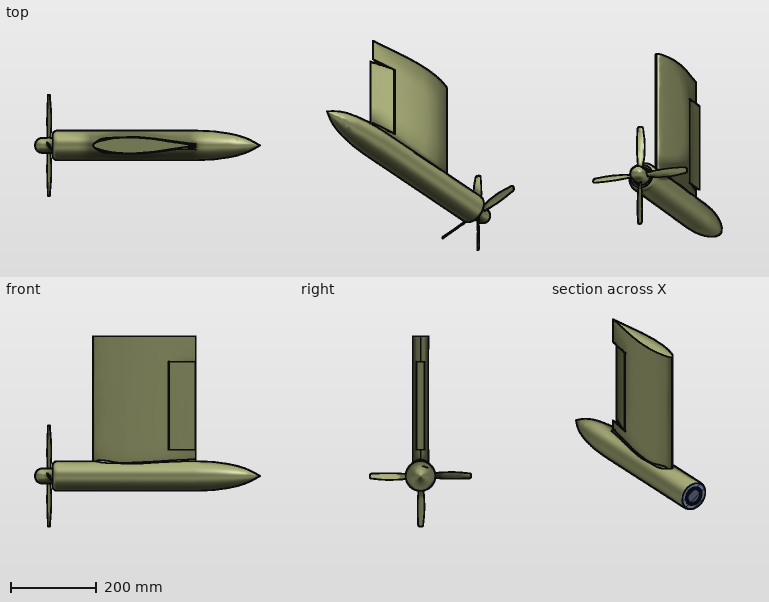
import cadquery as cq
import math

total_length = 526
rotor_diameter = 237.0
total_height = 445.5
rotor_radius = rotor_diameter / 2
fin_top = total_height - rotor_radius

pod_radius = 70.0 / 2
pod_front = 41.5
pod_end = 376.0
nose_rounding_length = 11.0
front_face_radius = 27.5
tail_length = total_length - pod_end
tail_profile = [(0.39, 0.89), (0.77, 0.51)]
tip_direction = (-1, 0.6)

recess_radius = 22.0
recess_depth = 10.0

fin_chord = 240.5
fin_front = pod_end - fin_chord
fin_half_thickness = 7.1 / 2
root_fillet = 5.0
fillet_overlap = 0.25
edge_fraction = 0.15
fin_profile = [(0.012, 1.3), (0.05, 2.6), (0.2, 4.5), (0.38, 5), (0.6, 4.075), (0.8, 1.985), (0.9, 0.875)]

notch_front = 312.0
notch_top = fin_top - 60.0
notch_height = 205.0
notch_bottom = notch_top - notch_height
flap_gap = 3.0
flap_angle = 9
hinge_x = notch_front + flap_gap

hub_radius = 18.0
blade_count = 4
blade_x = 32.5
blade_root = 13.0
cap_height = 9.5
cap_corner_radius = 6.5
cap_base = rotor_radius - cap_height
root_section = (blade_root, 10.5, 4.0, 42, 0)
middle_section = (71.0, 19.5, 2.5, 59, 1.5)
tip_section = (cap_base, 14.0, 2.0, 66, 0.5)


def fin_prism(bottom, top):
    """Upright prism with the symmetric fin section."""
    nose = (fin_front, 0)
    tail = (pod_end, 0)
    side = [(fin_front + u * fin_chord, v * fin_half_thickness) for u, v in fin_profile]
    opposite = [(x, -y) for x, y in reversed(side)]
    return (
        cq.Workplane("XY", origin=(0, 0, bottom))
        .moveTo(*nose)
        .spline(side + [tail], includeCurrent=True)
        .spline(opposite + [nose], includeCurrent=True)
        .close()
        .extrude(top - bottom)
    )


def trailing_block(front):
    """Block over the notch height that covers everything behind the given X."""
    return cq.Workplane("XY").box(
        total_length - front, 2 * pod_radius, notch_height, centered=(False, True, False)
    ).translate((front, 0, notch_bottom))


def make_pod_body():
    """Turned pod: flat front with a rounded rim, straight barrel and pointed tail."""
    tail_points = [(pod_end + u * tail_length, v * pod_radius) for u, v in reversed(tail_profile)]
    return (
        cq.Workplane("XY")
        .moveTo(pod_end, pod_radius)
        .lineTo(pod_front + nose_rounding_length, pod_radius)
        .tangentArcPoint((pod_front, front_face_radius), relative=False)
        .lineTo(pod_front, 0)
        .lineTo(total_length, 0)
        .spline(tail_points + [(pod_end, pod_radius)], tangents=[tip_direction, (-1, 0)], includeCurrent=True)
        .close()
        .revolve(360, (0, 0, 0), (1, 0, 0))
    )


def root_fillet_section(chord_fraction, thickness_fraction, radius):
    """Wire across the fin root, its sides concave arcs that meet the fin walls and the pod."""
    wall = thickness_fraction * fin_half_thickness
    center_y = wall + radius
    center_z = math.sqrt((pod_radius + radius) ** 2 - center_y**2)
    mid_angle = (math.pi + math.atan2(center_z, center_y) + math.pi) / 2
    arc_top = (wall - fillet_overlap, center_z)
    arc_middle = (center_y + radius * math.cos(mid_angle), center_z + radius * math.sin(mid_angle))
    reach = (pod_radius - fillet_overlap) / (pod_radius + radius)
    arc_foot = (reach * center_y, reach * center_z)
    mirrored = [(-y, z) for y, z in (arc_foot, arc_middle, arc_top)]
    return (
        cq.Workplane("YZ", origin=(fin_front + chord_fraction * fin_chord, 0, 0))
        .moveTo(*arc_top)
        .threePointArc(arc_middle, arc_foot)
        .lineTo(*mirrored[0])
        .threePointArc(mirrored[1], mirrored[2])
        .close()
        .val()
    )


def make_root_fillet():
    """Concave blend between fin and pod that starts from almost nothing at the leading edge."""
    sections = [root_fillet_section(0, edge_fraction, 2 * fillet_overlap)]
    full_stations = fin_profile[1:] + [(1, edge_fraction)]
    sections += [root_fillet_section(u, v, root_fillet) for u, v in full_stations]
    return cq.Workplane("XY").add(cq.Solid.makeLoft(sections))


def make_pod():
    """Pod with the fin blended onto it, the hub recess and the flap notch."""
    pod = make_pod_body().union(fin_prism(0, fin_top)).union(make_root_fillet())
    recess = cq.Workplane("YZ", origin=(pod_front, 0, 0)).circle(recess_radius).extrude(recess_depth)
    return pod.cut(recess).cut(trailing_block(notch_front))


def make_flap():
    """Trailing piece of the fin, swung toward -Y about an upright hinge at its front."""
    flap = fin_prism(notch_bottom, notch_top).intersect(trailing_block(hinge_x))
    return flap.rotate((hinge_x, 0, 0), (hinge_x, 0, 1), -flap_angle)


def make_hub():
    """Round-nosed spinner that seats on the floor of the pod recess."""
    ball = cq.Workplane("XY", origin=(hub_radius, 0, 0)).sphere(hub_radius)
    stem = cq.Workplane("YZ", origin=(hub_radius, 0, 0)).circle(hub_radius)
    return ball.union(stem.extrude(pod_front + recess_depth - hub_radius))


def blade_outline(section):
    """Lens-shaped wire of one blade section, its leading edge toward -X and +Y."""
    distance, chord, thickness, angle, shift = section
    front = (shift - chord / 2, 0)
    back = (shift + chord / 2, 0)
    lens = (
        cq.Workplane("XY")
        .moveTo(*front)
        .threePointArc((shift, thickness / 2), back)
        .threePointArc((shift, -thickness / 2), front)
        .close()
        .val()
    )
    return lens.rotate(cq.Vector(0, 0, 0), cq.Vector(0, 0, 1), -angle).translate(cq.Vector(blade_x, 0, distance))


def make_blade_cap():
    """Straight outer end of the blade with its two corners rounded."""
    _, chord, _, angle, shift = tip_section
    cap = cq.Workplane("XY", origin=(0, 0, cap_base)).add(blade_outline(tip_section)).toPending().extrude(cap_height)
    envelope = cq.Workplane("XY", origin=(shift, 0, 0)).box(chord, chord, 2 * cap_height)
    envelope = envelope.faces(">Z").edges("|Y").fillet(cap_corner_radius)
    envelope = envelope.rotate((0, 0, 0), (0, 0, 1), -angle).translate((blade_x, 0, cap_base))
    return cap.intersect(envelope)


def make_blades(hub):
    """Twisted blades around the hub, each trimmed to the hub surface."""
    sections = [blade_outline(section) for section in (root_section, middle_section, tip_section)]
    blade = cq.Workplane("XY").add(cq.Solid.makeLoft(sections)).union(make_blade_cap()).cut(hub)
    return [
        blade.rotate((0, 0, 0), (1, 0, 0), index * 360 / blade_count).val()
        for index in range(blade_count)
    ]


pod = make_pod()
flap = make_flap()
hub = make_hub()
blades = make_blades(hub)
result = cq.Compound.makeCompound([pod.val(), flap.val(), hub.val(), *blades])